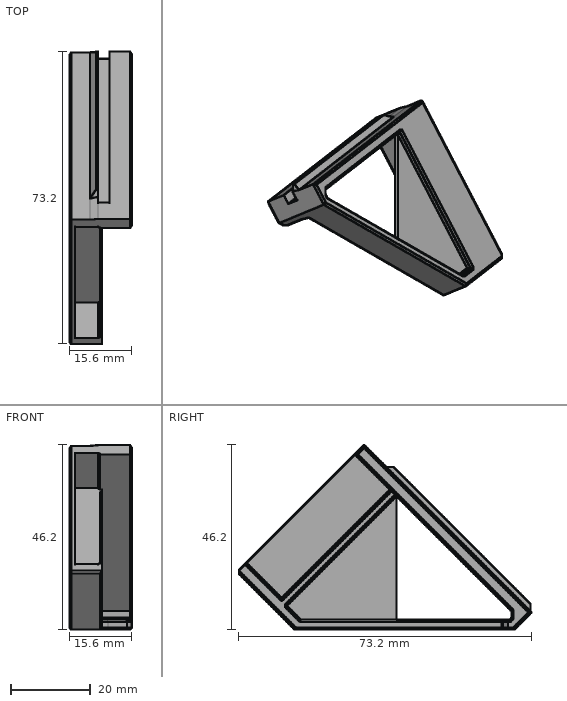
import cadquery as cq
import math

ROOT2 = math.sqrt(2)

width = 15.6
slab_thick = 8.2
peak_y = -5.3
peak_z = 46.2
back_y = 36.6
front_y = -36.6
edge = 0.5
front_bevel = 0.6

rear_run = (back_y - peak_y) * ROOT2
front_depth = (peak_y - front_y) * ROOT2 + front_bevel
bar_depth = 3.3

slab_drop = 0.3
rail_start = 5.1
rail_crest = 6.65
rail_end = 7.1
rail_height = 1.3
rail_back_y = back_y - slab_drop / ROOT2
rail_top_z = 40.7
groove_width = 2.85
groove_depth = 2.5
groove_run = 5.85

floor_z = 2.5
wall_y = 31.6
window_run = 14.8
window_depth = 42.1
recess = 1.1
web_thick = 1.0
foot_y = 29.5
foot_corner = 1.2
foot_inner_x = 6.6
foot_blend_x = 1.4
foot_blend_y = 0.4

pocket_floor_x = 1.4
pocket_run = 12.5
pocket_top = 2.8
pocket_bottom = 42.15
lip = bar_depth - pocket_top

margin = 3.65


def tilted(run, depth):
    """(y, z) of a point given along and square to the rear slope."""
    return (peak_y + (run - depth) / ROOT2, peak_z - (run + depth) / ROOT2)


def depth_at_z(run, z):
    return (peak_z - z) * ROOT2 - run


def run_at_z(depth, z):
    return (peak_z - z) * ROOT2 - depth


def prism(points, x_start, length, taper=0):
    """Outline in the YZ plane, extruded along +X."""
    plane = cq.Workplane("YZ").workplane(offset=x_start)
    return plane.polyline(points).close().extrude(length, taper=taper)


def along_slope(points, run_start, run_end):
    """Section of (x, depth) points, swept down the rear slope."""
    y, z = tilted(run_start, 0)
    plane = cq.Plane(origin=(0, y, z), xDir=(1, 0, 0), normal=(0, 1, -1))
    return cq.Workplane(plane).polyline(points).close().extrude(run_end - run_start)


def underside(y):
    """Z of the lower face of the rear bar at a given y."""
    return peak_z + peak_y - y - bar_depth * ROOT2


heel = tilted(rear_run, depth_at_z(rear_run, 0))
apex = tilted(window_run, bar_depth)
window = [
    apex,
    tilted(window_run, window_depth),
    tilted(run_at_z(window_depth, floor_z), window_depth),
    (wall_y - edge, floor_z),
    (wall_y, floor_z + edge),
    (wall_y, underside(wall_y)),
]


def make_slab():
    """Slab with a window bevelled on both sides."""
    outline = [
        tilted(0, slab_drop),
        tilted(0, front_depth - front_bevel),
        tilted(front_bevel, front_depth),
        tilted(run_at_z(front_depth, 0), front_depth),
        heel,
        tilted(rear_run, slab_drop),
    ]
    slab = prism(outline, 0, slab_thick)
    slab = slab.faces(">X").edges("|(0,1,-1) or |Y").chamfer(edge)
    slab = slab.faces("<X").edges().chamfer(edge)

    opening = prism(window, 0, slab_thick)
    near_flare = prism(window, edge, -edge, taper=-45)
    far_flare = prism(window, slab_thick - edge, edge, taper=-45)
    return slab.cut(opening).cut(near_flare).cut(far_flare)


def make_web():
    """Thin wall closing the half of the window in front of its apex."""
    web = prism(window, recess - edge, edge + web_thick)
    web = web.cut(prism(window, recess - edge, edge, taper=45))
    front_half = cq.Workplane("XY").box(slab_thick, apex[0] - front_y, peak_z, centered=False)
    return web.intersect(front_half.translate((0, front_y, 0)))


def make_bar():
    """Rear bar, standing proud of the slab beyond the ramp."""
    outline = [
        tilted(0, 0),
        tilted(rear_run, 0),
        heel,
        (foot_y + foot_corner, 0),
        (foot_y + foot_corner, floor_z),
        (wall_y - edge, floor_z),
        (wall_y, floor_z + edge),
        (wall_y, underside(wall_y)),
        tilted(0, bar_depth),
    ]
    bar = prism(outline, rail_start, width - rail_start)
    bar = bar.faces(">X").edges().chamfer(edge)
    ramp = [(rail_start, slab_drop), (rail_end, 0), (rail_end, -margin), (rail_start, -margin)]
    return bar.cut(along_slope(ramp, -margin, rear_run + margin))


def make_foot():
    """Low step in front of the lower end of the bar."""
    plan = [
        (foot_inner_x, foot_y - foot_blend_y),
        (slab_thick, foot_y - foot_blend_y),
        (slab_thick + foot_blend_x, foot_y),
        (width - foot_corner, foot_y),
        (width, foot_y + foot_corner),
        (width, wall_y),
        (foot_inner_x, wall_y),
    ]
    foot = cq.Workplane("XY").polyline(plan).close().extrude(floor_z)
    return foot.faces("<Z or >Z").edges().chamfer(edge)


def make_rail():
    """Rail with one sloping flank on the rear slope, level on top and upright at its lower end."""
    section = [
        (rail_start, slab_drop),
        (rail_crest, -rail_height),
        (rail_end, -rail_height),
        (rail_end, bar_depth / 2),
        (rail_start, bar_depth / 2),
    ]
    rail = along_slope(section, 0, rear_run)
    limits = cq.Workplane("XY").box(width, rail_back_y - peak_y, rail_top_z - heel[1], centered=False)
    return rail.intersect(limits.translate((0, peak_y, heel[1])))


def make_groove():
    """Groove beside the rail, open at its lower end."""
    section = [
        (rail_end, -margin),
        (rail_end + groove_width, -margin),
        (rail_end + groove_width, groove_depth),
        (rail_end, groove_depth),
    ]
    return along_slope(section, groove_run, rear_run + margin)


def make_pocket():
    """Pocket open to the front slope and to +X, undercut behind a lip."""
    def outline(run, top, bottom):
        return [tilted(-margin, top), tilted(-margin, bottom), tilted(run, bottom), tilted(run, top)]

    crest_bottom = pocket_bottom - lip
    crest_x = slab_thick - edge
    lip_x = crest_x - lip
    pocket = outline(pocket_run, pocket_top, pocket_bottom)
    body = prism(pocket, pocket_floor_x, crest_x - pocket_floor_x)
    long_pocket = outline(pocket_run + lip, pocket_top, pocket_bottom)
    hollow = prism(long_pocket, pocket_floor_x, lip_x - pocket_floor_x)
    lip_slope = prism(long_pocket, lip_x, lip, taper=45)
    body = body.intersect(hollow.union(lip_slope))
    rim = outline(pocket_run + edge, bar_depth + edge, crest_bottom + edge)
    mouth = prism(rim, slab_thick, -edge, taper=45)
    mouth_core = prism(outline(pocket_run, bar_depth, crest_bottom), crest_x, edge)
    return body.union(mouth_core).union(mouth)


result = make_slab().union(make_web()).union(make_bar()).union(make_foot()).union(make_rail())
result = result.cut(make_groove()).cut(make_pocket())